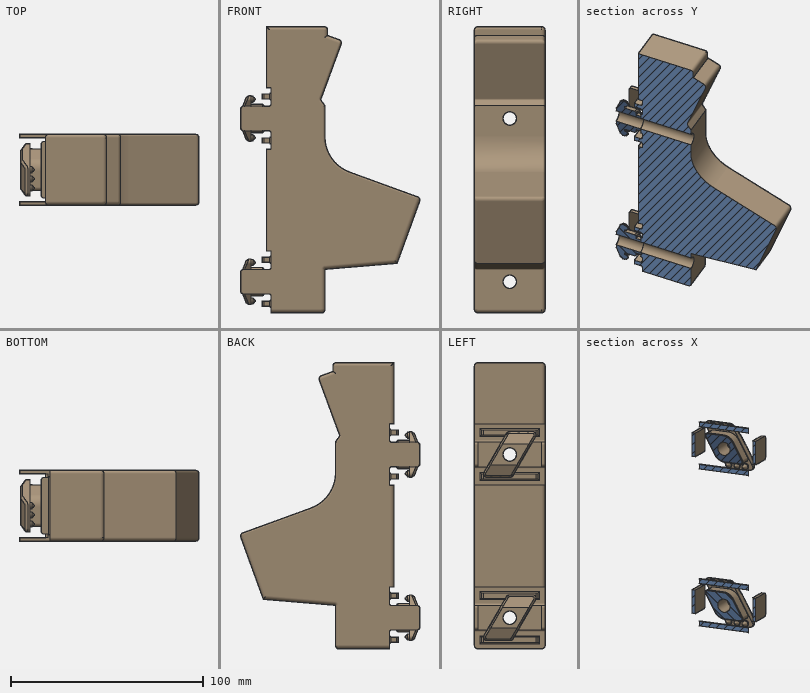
import cadquery as cq
import math

height = 149.0
width = 37.0
back_x = 13.4
front_x = 44.0
nose_angle = 20.0

crown_x = 45.3
lip_root_z = 144.4
lip_tip_x = 53.0
notch_x = 41.7
notch_z = 110.9
notch_foot_z = 107.9
throat_radius = 19.5
throat_start_z = 91.6
nose_tip_x = 93.9
nose_length = 36.2
chin_root_z = 22.6

side_round = 2.0
front_round = 1.2
front_corner_round = 1.8
notch_round = 0.9
nose_root_round = 0.3

seat_centers = [16.2, 101.2]
seat_half_height = 16.0
floor_x = 15.8
pad_height = 1.0
tab_half_height = 6.4
tab_thickness = 2.0
tab_corner = 1.5
root_round = pad_height

ridge_offset = 11.5
ridge_top_x = 11.2
ridge_half_height = 1.3
ridge_half_length = 14.8
ridge_end_chamfer = 1.0
ridge_foot = 0.7
ridge_foot_slope = 45.0

hole_diameter = 6.9
slant = 30.0
plate_front_x = 0.6
plate_back_x = 5.5
plate_half_height = 11.9
plate_half_width = 7.0
plate_flat_half_height = 5.4
wing_tip_x = 3.3
plate_corner = 1.8
plate_bevel = 1.0

shaft_half_height = 7.5
shaft_half_width = 6.7
shaft_acute_round = 1.6
shaft_obtuse_round = 7.0
shaft_end_x = 12.2
shaft_end_chamfer = 0.7
neck_radius = 5.2

spike_radius = 1.6
spike_base = 0.9
spike_tip = 1.5
spike_height = 10.0
spike_center_y = 4.8
spike_pitch = 4.8

tolerance = 0.1


def in_direction(point, degrees, length):
    """Point reached from another one in the XZ plane."""
    angle = math.radians(degrees)
    return (point[0] + length * math.cos(angle), point[1] + length * math.sin(angle))


lip_rise = (lip_tip_x - crown_x) * math.tan(math.radians(nose_angle))
lip_tip = (lip_tip_x, lip_root_z - lip_rise)
notch = (notch_x, notch_z)
throat_center = (front_x + throat_radius, throat_start_z)
throat_start = (front_x, throat_start_z)
throat_mid = in_direction(throat_center, 180 + (90 - nose_angle) / 2, throat_radius)
throat_end = in_direction(throat_center, 270 - nose_angle, throat_radius)
nose_top_length = (nose_tip_x - throat_end[0]) / math.cos(math.radians(nose_angle))
nose_tip = in_direction(throat_end, -nose_angle, nose_top_length)
nose_foot = in_direction(nose_tip, -90 - nose_angle, nose_length)


def along_front(edge):
    """True for a side edge between the lip tip and the nose tip, which gets the finer round."""
    middle = edge.positionAt(0.5)
    return nose_tip[1] < middle.z < lip_tip[1] and middle.x > notch[0]


def side_edges(block, fine):
    """Outline edges of both side faces, either the fine ones or the rest."""
    edges = block.faces("<Y or >Y").edges().vals()
    return block.newObject([edge for edge in edges if along_front(edge) == fine])


def round_across(block, corners, radius):
    """Round the edges that run along Y through the given XZ corners."""
    for x, z in corners:
        nearest = cq.selectors.NearestToPointSelector((x, 0, z))
        block = block.edges("|Y").edges(nearest).fillet(radius)
    return block


def make_block():
    """Outer block of the housing, rounded along both sides and across its front corners."""
    block = (
        cq.Workplane("XZ", origin=(0, width / 2, 0))
        .moveTo(back_x, 0)
        .lineTo(back_x, height)
        .lineTo(crown_x, height)
        .lineTo(crown_x, lip_root_z)
        .lineTo(*lip_tip)
        .lineTo(*notch)
        .lineTo(front_x, notch_foot_z)
        .lineTo(*throat_start)
        .threePointArc(throat_mid, throat_end)
        .lineTo(*nose_tip)
        .lineTo(*nose_foot)
        .lineTo(front_x, chin_root_z)
        .lineTo(front_x, 0)
        .close()
        .extrude(width)
    )
    block = round_across(block, [notch], notch_round)
    block = round_across(block, [(front_x, chin_root_z)], nose_root_round)
    block = side_edges(block, fine=True).fillet(front_round)
    block = side_edges(block, fine=False).fillet(side_round)
    return round_across(block, [(crown_x, height), (front_x, 0)], front_corner_round)


def make_recess(center_z):
    """Space cut out of the back wall down to the seat floor; the lowest one opens at the bottom."""
    top_z = center_z + seat_half_height
    bottom_z = center_z - seat_half_height
    if center_z == min(seat_centers):
        bottom_z = 0
    return (
        cq.Workplane("XY", origin=(back_x, 0, bottom_z))
        .box(floor_x - back_x, width, top_z - bottom_z, centered=(False, True, False))
    )


def make_pad_and_tabs(center_z):
    """Raised pad across the seat floor with a tab standing at each side."""
    pad_x = floor_x - pad_height
    foot_half = tab_half_height + root_round
    pad = (
        cq.Workplane("XZ", origin=(0, width / 2, 0))
        .moveTo(floor_x, -foot_half)
        .radiusArc((pad_x, -tab_half_height), -root_round)
        .lineTo(pad_x, tab_half_height)
        .radiusArc((floor_x, foot_half), -root_round)
        .close()
        .extrude(width)
    )
    tab = (
        cq.Workplane("XY")
        .box(floor_x, tab_thickness, 2 * tab_half_height, centered=(False, True, True))
        .edges("<X and |Y")
        .fillet(tab_corner)
    )
    tab_y = (width - tab_thickness) / 2
    for side in (-1, 1):
        pad = pad.union(tab.translate((0, side * tab_y, 0)))
    return pad.translate((0, 0, center_z))


def make_ridge(center_z):
    """Bar across the seat floor with bevelled ends and a flared foot."""
    ridge_depth = floor_x - ridge_top_x
    bar = (
        cq.Workplane("XY")
        .box(ridge_depth, 2 * ridge_half_length, 2 * ridge_half_height, centered=(False, True, True))
        .edges("<X and |Z")
        .chamfer(ridge_end_chamfer)
        .translate((ridge_top_x, 0, 0))
    )
    foot = (
        cq.Workplane("YZ", origin=(floor_x, 0, 0))
        .rect(2 * (ridge_half_length + ridge_foot), 2 * (ridge_half_height + ridge_foot))
        .extrude(-ridge_foot, taper=ridge_foot_slope)
    )
    return bar.union(foot).translate((0, 0, center_z))


def make_clip_hole(center_z):
    """Bore along X on the clip axis, long enough for clip and housing."""
    return cq.Workplane("YZ").center(0, center_z).circle(hole_diameter / 2).extrude(nose_tip_x)


def make_housing():
    """Housing with two mounting seats, each with pad, tabs, two ridges and a through bore."""
    housing = make_block()
    for center_z in seat_centers:
        housing = housing.cut(make_recess(center_z))
        housing = housing.union(make_pad_and_tabs(center_z))
        for side in (-1, 1):
            housing = housing.union(make_ridge(center_z + side * ridge_offset))
        housing = housing.cut(make_clip_hole(center_z))
    return housing


def slanted_outline(x, half_height, half_width):
    """Parallelogram across X whose long sides lean towards -Y at the top."""
    lean = half_height * math.tan(math.radians(slant))
    half_span = half_width / math.cos(math.radians(slant))
    return cq.Workplane("YZ", origin=(x, 0, 0)).polyline(
        [
            (-half_span - lean, half_height),
            (half_span - lean, half_height),
            (half_span + lean, -half_height),
            (-half_span + lean, -half_height),
        ]
    ).close()


def on_slanted_rim(edge):
    """True for an outline edge on the plate's front that is not parallel to Y."""
    start = edge.startPoint()
    end = edge.endPoint()
    on_front = max(start.x, end.x) < plate_back_x - tolerance
    return on_front and abs(start.z - end.z) > tolerance


def make_clip_plate():
    """Slanted plate with a flat middle and two wings swept back."""
    thickness = plate_back_x - plate_front_x
    plate = slanted_outline(plate_front_x, plate_half_height, plate_half_width).extrude(thickness)
    plate = plate.edges("|X").fillet(plate_corner)
    wedge = (
        cq.Workplane("XZ", origin=(0, width / 2, 0))
        .polyline(
            [
                (plate_back_x, -plate_half_height),
                (wing_tip_x, -plate_half_height),
                (plate_front_x, -plate_flat_half_height),
                (plate_front_x, plate_flat_half_height),
                (wing_tip_x, plate_half_height),
                (plate_back_x, plate_half_height),
            ]
        )
        .close()
        .extrude(width)
    )
    plate = plate.intersect(wedge)
    rim = [edge for edge in plate.edges().vals() if on_slanted_rim(edge)]
    return plate.newObject(rim).chamfer(plate_bevel)


def make_clip_shaft():
    """Slanted shaft behind the plate; its blunt corners are widely rounded."""
    length = shaft_end_x - plate_back_x
    shaft = slanted_outline(plate_back_x, shaft_half_height, shaft_half_width).extrude(length)
    shaft = shaft.edges("|X").edges("<Y or >Y").fillet(shaft_acute_round)
    lean = math.radians(slant)
    blunt_y = shaft_half_width / math.cos(lean) - shaft_half_height * math.tan(lean)
    for side in (-1, 1):
        blunt = (plate_back_x + length / 2, side * blunt_y, side * shaft_half_height)
        nearest = cq.selectors.NearestToPointSelector(blunt)
        shaft = shaft.edges("|X").edges(nearest).fillet(shaft_obtuse_round)
    return shaft.faces(">X").chamfer(shaft_end_chamfer)


def make_clip_neck():
    """Round neck that stands on the pad and carries the shaft."""
    pad_x = floor_x - pad_height
    return cq.Workplane("YZ", origin=(shaft_end_x, 0, 0)).circle(neck_radius).extrude(pad_x - shaft_end_x)


def make_spike():
    """Short pin with a conical point, along +X from the back of the plate."""
    return (
        cq.Workplane("XY", origin=(plate_back_x, 0, 0))
        .lineTo(0, spike_radius)
        .lineTo(spike_base, spike_radius)
        .lineTo(spike_base + spike_tip, 0)
        .close()
        .revolve(360, (0, 0, 0), (1, 0, 0))
    )


def make_clip(center_z):
    """Turn clip with three spikes behind each wing and a through bore."""
    clip = make_clip_plate().union(make_clip_shaft()).union(make_clip_neck())
    for side in (-1, 1):
        for step in (-1, 0, 1):
            spike_y = -side * spike_center_y + step * spike_pitch
            clip = clip.union(make_spike().translate((0, spike_y, side * spike_height)))
    return clip.translate((0, 0, center_z)).cut(make_clip_hole(center_z))


housing = make_housing()
clips = [make_clip(center_z) for center_z in seat_centers]

result = cq.Compound.makeCompound([housing.val(), *[clip.val() for clip in clips]])